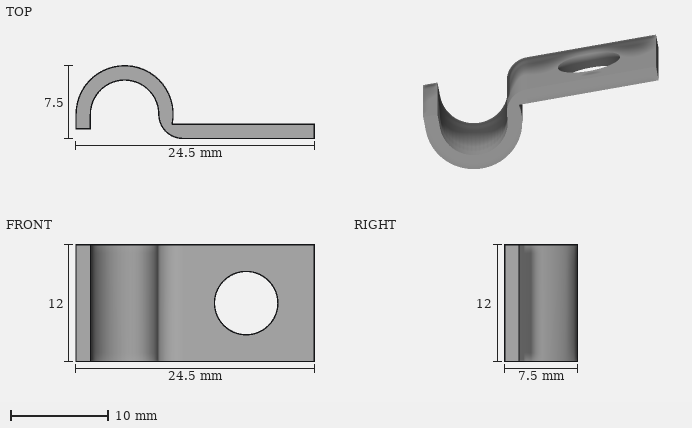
import cadquery as cq
import math

length = 24.5
width = 12.0
thickness = 1.5
loop_radius = 5.0
bend_radius = 2.5
hole_diameter = 6.5
hole_x = 17.5

loop_inner_radius = loop_radius - thickness
bore_left = thickness
bore_right = loop_radius + loop_inner_radius
bend_center_x = bore_right + bend_radius
tab_end_y = -thickness
flange_bottom_y = -bend_radius
flange_top_y = flange_bottom_y + thickness

corner_x = loop_radius + math.sqrt(loop_radius**2 - flange_top_y**2)

bend_mid_offset = bend_radius * math.sqrt(0.5)
bend_mid = (bend_center_x - bend_mid_offset, -bend_mid_offset)


def clamp_strip():
    """Short tab, half loop, bend and flat flange, extruded across the width."""
    return (
        cq.Workplane("XY")
        .moveTo(0, tab_end_y)
        .lineTo(0, 0)
        .threePointArc((loop_radius, loop_radius), (corner_x, flange_top_y))
        .lineTo(length, flange_top_y)
        .lineTo(length, flange_bottom_y)
        .lineTo(bend_center_x, flange_bottom_y)
        .threePointArc(bend_mid, (bore_right, 0))
        .threePointArc((loop_radius, loop_inner_radius), (bore_left, 0))
        .lineTo(bore_left, tab_end_y)
        .close()
        .extrude(width)
    )


def screw_hole():
    """Cylinder through the flange, centred across the width."""
    return (
        cq.Workplane("XZ", origin=(hole_x, flange_top_y, width / 2))
        .circle(hole_diameter / 2)
        .extrude(thickness)
    )


result = clamp_strip().cut(screw_hole())